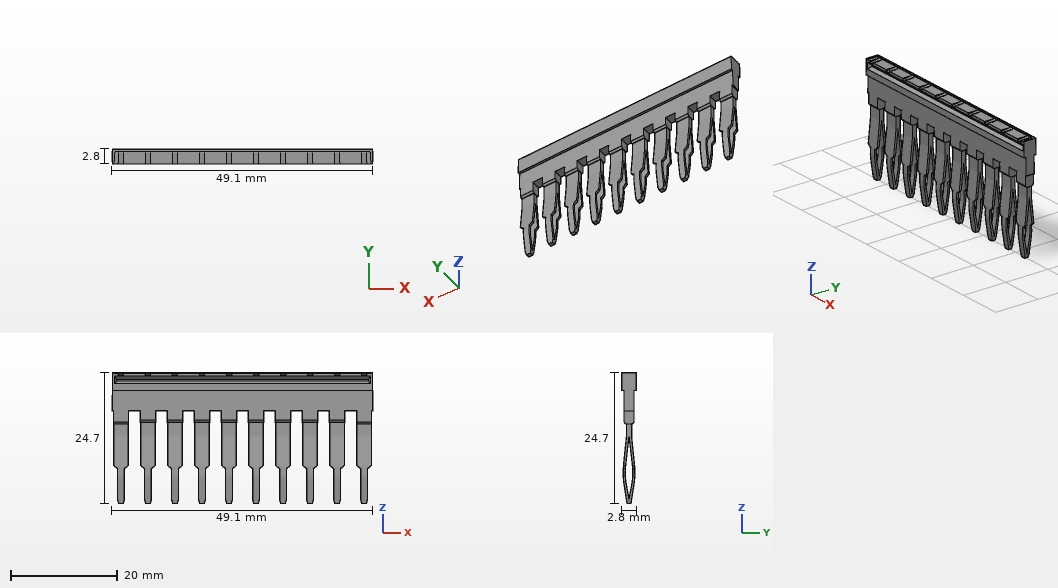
import cadquery as cq


LENGTH = 49.1
TOP_LENGTH = 48.95
HEAD_THICKNESS = 2.8
HEAD_DEPTH = 3.4
WEB_THICKNESS = 1.9
WEB_DEPTH = 7.2

RECESS_DEPTH = 0.15
RECESS_BACK_RIM = 0.45
RECESS_SIDE_RIM_BACK = 0.45
RECESS_SIDE_RIM_FRONT = 0.3
RECESS_CORNER_RADIUS = 0.25

NOTCH_BACK_RIM = 0.75
NOTCH_BACK_WIDTH = 0.9
NOTCH_FRONT_WIDTH = 1.05
NOTCH_FRONT_DEPTH = 0.45

GROOVE_LENGTH = 48.1
GROOVE_END_SLOPE = 0.4
GROOVE_TOP_DEPTH = 0.7
GROOVE_BOTTOM_DEPTH = 2.05
GROOVE_CUT = 0.8
GROOVE_ROOT_TOP_DEPTH = 1.35
GROOVE_ROOT_BOTTOM_DEPTH = 1.55

FINGER_COUNT = 10
FINGER_SPAN = 45.75
FINGER_PITCH = FINGER_SPAN / (FINGER_COUNT - 1)

INNER_STUB_WIDTH = 2.95
INNER_STUB_DEPTH = 9.4
END_STUB_WIDTH = 2.85
END_STUB_DEPTH = 9.7
STUB_CHAMFER_HEIGHT = 0.4
STUB_TIP_THICKNESS = 1.2

BLADE_WIDTH = 2.8
BLADE_DEPTH = 17.5
PIN_WIDTH = 1.35
PIN_START_DEPTH = 18.1
TIP_WIDTH = 0.9
TIP_START_DEPTH = 23.9
TOTAL_DEPTH = 24.7

SHANK_THICKNESS = 1.05
SPLIT_DEPTH = 12.15
BEND_DEPTH = 17.7
BULGE_DEPTH = 19.4
CLOSING_DEPTH = 20.5
JOIN_DEPTH = 23.75
BEND_HALF = 1.1
BULGE_HALF = 1.15
CLOSING_HALF = 1.05
TIP_HALF = 0.4
LEAF_THICKNESS = 0.45


FRONT_Y = -HEAD_THICKNESS / 2
BACK_Y = HEAD_THICKNESS / 2


def mirrored_prism(plane, right_side, thickness):
    """Prism centred on the plane; its outline is right_side plus the mirror image of it."""
    left_side = [(-across, up) for across, up in reversed(right_side)]
    outline = cq.Workplane(plane).polyline(right_side + left_side).close()
    return outline.extrude(thickness / 2, both=True)


def plan_taper(front_half, back_half, back, depth):
    """Block under the top face that runs from the front to back and narrows on the way."""
    return (
        cq.Workplane("XY")
        .polyline([(-front_half, FRONT_Y), (front_half, FRONT_Y), (back_half, back), (-back_half, back)])
        .close()
        .extrude(-depth)
    )


def tapered_slab(thickness, depth):
    """Slab under the top face whose ends lean outward to LENGTH at WEB_DEPTH."""
    top_half = TOP_LENGTH / 2
    bottom_half = top_half + (LENGTH - TOP_LENGTH) / 2 * depth / WEB_DEPTH
    return mirrored_prism("XZ", [(top_half, 0), (bottom_half, -depth)], thickness)


def rail():
    head = tapered_slab(HEAD_THICKNESS, HEAD_DEPTH)
    web = tapered_slab(WEB_THICKNESS, WEB_DEPTH)
    return head.union(web)


def top_recess():
    front_half = TOP_LENGTH / 2 - RECESS_SIDE_RIM_FRONT
    back_half = TOP_LENGTH / 2 - RECESS_SIDE_RIM_BACK
    recess = plan_taper(front_half, back_half, BACK_Y - RECESS_BACK_RIM, RECESS_DEPTH)
    return recess.edges("|Z and >Y").fillet(RECESS_CORNER_RADIUS)


def notch(x):
    """Wedge that starts on the recess floor and deepens toward the front."""
    back = BACK_Y - NOTCH_BACK_RIM
    ramp = (
        cq.Workplane("YZ")
        .polyline([(back, -RECESS_DEPTH), (FRONT_Y, -RECESS_DEPTH), (FRONT_Y, -NOTCH_FRONT_DEPTH)])
        .close()
        .extrude(NOTCH_FRONT_WIDTH / 2, both=True)
    )
    plan = plan_taper(NOTCH_FRONT_WIDTH / 2, NOTCH_BACK_WIDTH / 2, back, NOTCH_FRONT_DEPTH)
    return ramp.intersect(plan).translate((x, 0, 0))


def front_groove():
    """Groove with sloping top, bottom and ends and a narrow flat root."""
    root = FRONT_Y + GROOVE_CUT
    mouth_half = GROOVE_LENGTH / 2
    section = (
        cq.Workplane("YZ")
        .polyline([
            (FRONT_Y, -GROOVE_TOP_DEPTH),
            (root, -GROOVE_ROOT_TOP_DEPTH),
            (root, -GROOVE_ROOT_BOTTOM_DEPTH),
            (FRONT_Y, -GROOVE_BOTTOM_DEPTH),
        ])
        .close()
        .extrude(mouth_half, both=True)
    )
    plan = plan_taper(mouth_half, mouth_half - GROOVE_END_SLOPE, root, GROOVE_BOTTOM_DEPTH)
    return section.intersect(plan)


def stub(x, width, depth):
    half = WEB_THICKNESS / 2
    right_side = [
        (half, -HEAD_DEPTH),
        (half, -(depth - STUB_CHAMFER_HEIGHT)),
        (STUB_TIP_THICKNESS / 2, -depth),
    ]
    return mirrored_prism("YZ", right_side, width).translate((x, 0, 0))


def contact_outline():
    """Contact seen along Y: wide blade, sloping shoulders, narrow pin."""
    right_side = [
        (BLADE_WIDTH / 2, -WEB_DEPTH),
        (BLADE_WIDTH / 2, -BLADE_DEPTH),
        (PIN_WIDTH / 2, -PIN_START_DEPTH),
        (PIN_WIDTH / 2, -TIP_START_DEPTH),
        (TIP_WIDTH / 2, -TOTAL_DEPTH),
    ]
    return mirrored_prism("XZ", right_side, 2 * BULGE_HALF)


def leaf_spread():
    """Contact seen along X: two leaves that bow apart and meet at the tip."""
    shank_half = SHANK_THICKNESS / 2
    bow = [(BEND_HALF, -BEND_DEPTH), (BULGE_HALF, -BULGE_DEPTH), (CLOSING_HALF, -CLOSING_DEPTH)]
    shank = [(shank_half, -WEB_DEPTH), (shank_half, -SPLIT_DEPTH)]
    outer = mirrored_prism("YZ", shank + bow + [(TIP_HALF, -TOTAL_DEPTH)], BLADE_WIDTH)

    inner_bow = [(y - LEAF_THICKNESS, z) for y, z in bow]
    mirrored_bow = [(-y, z) for y, z in reversed(inner_bow)]
    gap = (
        cq.Workplane("YZ")
        .polyline([(0, -SPLIT_DEPTH)] + inner_bow + [(0, -JOIN_DEPTH)] + mirrored_bow)
        .close()
        .extrude(BLADE_WIDTH / 2, both=True)
    )
    return outer.cut(gap)


body = rail().cut(top_recess()).cut(front_groove())
contact = contact_outline().intersect(leaf_spread())

for index in range(FINGER_COUNT):
    finger_x = index * FINGER_PITCH - FINGER_SPAN / 2
    is_end = index in (0, FINGER_COUNT - 1)
    stub_width = END_STUB_WIDTH if is_end else INNER_STUB_WIDTH
    stub_depth = END_STUB_DEPTH if is_end else INNER_STUB_DEPTH
    body = body.union(stub(finger_x, stub_width, stub_depth))
    body = body.union(contact.translate((finger_x, 0, 0)))
    body = body.cut(notch(finger_x))

result = body